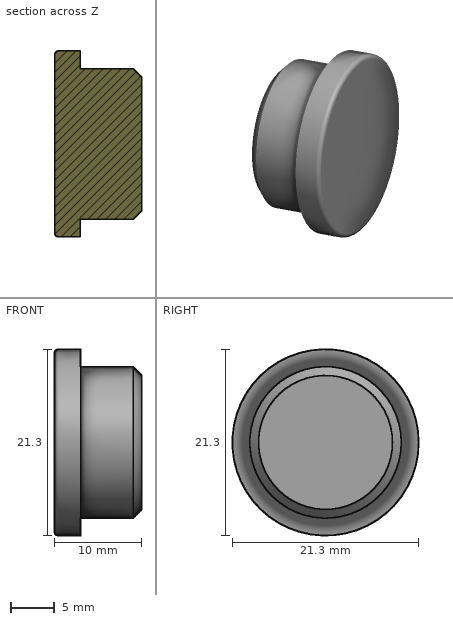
import cadquery as cq

flange_diameter = 21.3
flange_thickness = 3.0
flange_edge_radius = 0.5
shank_diameter = 17.3
total_length = 10.0
shank_chamfer = 1.0

flange = (
    cq.Workplane("YZ")
    .circle(flange_diameter / 2)
    .extrude(flange_thickness)
    .faces("<X")
    .edges()
    .fillet(flange_edge_radius)
)

shank = (
    cq.Workplane("YZ", origin=(flange_thickness, 0, 0))
    .circle(shank_diameter / 2)
    .extrude(total_length - flange_thickness)
    .faces(">X")
    .edges()
    .chamfer(shank_chamfer)
)

result = flange.union(shank)